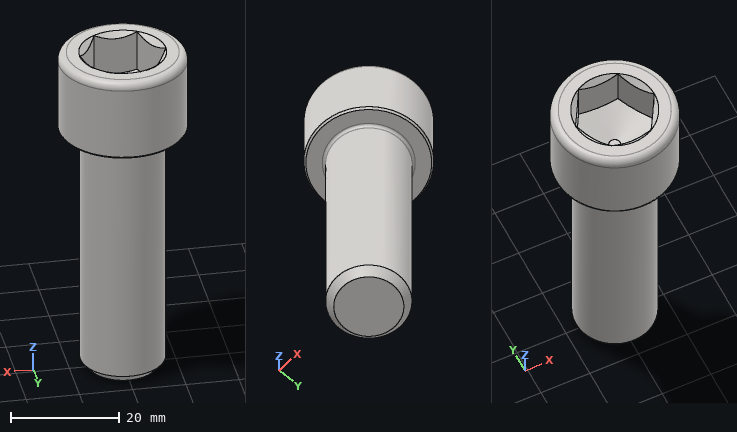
import cadquery as cq
import math

total_length = 66.0
head_diameter = 24.0
head_height = 16.0
shank_diameter = 16.0

head_top_round = 1.6
head_bottom_chamfer = 0.4
neck_fillet = 0.6
tip_chamfer_height = 1.7
tip_chamfer_inset = 1.5

socket_across_flats = 14.0
socket_mouth_diameter = 16.25
socket_depth = 8.0
floor_cone_depth = 3.3
floor_flat_diameter = 2.25
mouth_slope = 45.0

head_bottom = total_length - head_height
socket_corner_diameter = socket_across_flats / math.cos(math.radians(30))


def make_shank():
    shank = cq.Workplane("XY").circle(shank_diameter / 2).extrude(head_bottom)
    return shank.faces("<Z").chamfer(tip_chamfer_height, tip_chamfer_inset)


def make_head():
    head = (
        cq.Workplane("XY")
        .workplane(offset=head_bottom)
        .circle(head_diameter / 2)
        .extrude(head_height)
    )
    head = head.faces(">Z").edges().fillet(head_top_round)
    return head.faces("<Z").edges().chamfer(head_bottom_chamfer)


def make_neck_fillet():
    """Ring of material that blends the shank into the underside of the head."""
    radius = shank_diameter / 2
    middle = neck_fillet * (1 - math.sqrt(0.5))
    return (
        cq.Workplane("XZ")
        .moveTo(0, head_bottom)
        .lineTo(radius + neck_fillet, head_bottom)
        .threePointArc((radius + middle, head_bottom - middle), (radius, head_bottom - neck_fillet))
        .lineTo(0, head_bottom - neck_fillet)
        .close()
        .revolve(360, (0, 0), (0, 1))
    )


def make_socket():
    floor = total_length - socket_depth
    hexagon = (
        cq.Workplane("XY")
        .workplane(offset=floor)
        .polygon(6, socket_corner_diameter)
        .extrude(socket_depth)
    )
    floor_bottom = floor - floor_cone_depth
    floor_cone = cq.Workplane(
        cq.Solid.makeCone(
            floor_flat_diameter / 2,
            socket_corner_diameter / 2,
            floor_cone_depth,
            cq.Vector(0, 0, floor_bottom),
        )
    )
    hexagon_below = (
        cq.Workplane("XY")
        .workplane(offset=floor_bottom)
        .polygon(6, socket_corner_diameter)
        .extrude(floor_cone_depth)
    )
    return hexagon.union(floor_cone.intersect(hexagon_below))


def make_mouth_countersink():
    """Conical lead-in that cuts the flats of the socket at the head face."""
    mouth_radius = socket_mouth_diameter / 2
    cone_depth = mouth_radius * math.tan(math.radians(mouth_slope))
    return cq.Workplane(
        cq.Solid.makeCone(0, mouth_radius, cone_depth, cq.Vector(0, 0, total_length - cone_depth))
    )


screw = make_shank().union(make_head()).union(make_neck_fillet())
result = screw.cut(make_socket()).cut(make_mouth_countersink())